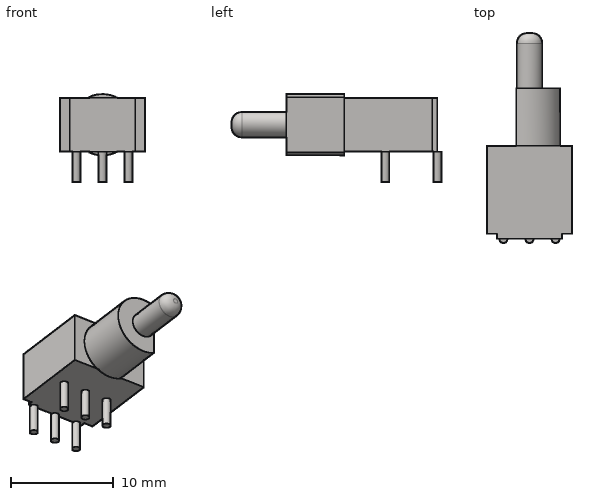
import cadquery as cq

housing_width = 8.3
housing_height = 5.25
housing_length = 8.58
rear_step_width = 6.35
rear_step_length = 0.5

bushing_diameter = 6.0
bushing_length = 5.63
bushing_flat_offset = 1.31

lever_diameter = 2.5
lever_length = 5.37
lever_tip_radius = 1.0

pin_diameter = 0.8
pin_length = 2.97
pin_pitch = 2.54
pin_row_spacing = 5.08
pin_overhang = 0.4

housing_rear = -housing_length
step_rear = housing_rear - rear_step_length
rear_pin_row = step_rear - pin_overhang + pin_diameter / 2
housing_bottom = -housing_height / 2


def block(width, y_start, y_end):
    """Box of housing height, centred on X and Z."""
    return (
        cq.Workplane("XY")
        .box(width, y_end - y_start, housing_height)
        .translate((0, (y_start + y_end) / 2, 0))
    )


def rod(diameter, y_start, length):
    """Cylinder on the Y axis, extending toward +Y."""
    return (
        cq.Workplane("XZ", origin=(0, y_start, 0))
        .circle(diameter / 2)
        .extrude(-length)
    )


def make_housing():
    main_block = block(housing_width, housing_rear, 0)
    rear_step = block(rear_step_width, step_rear, housing_rear)
    return main_block.union(rear_step)


def make_bushing():
    kept_width = bushing_flat_offset + bushing_diameter / 2
    kept_side = (
        cq.Workplane("XY")
        .box(kept_width, bushing_length, bushing_diameter)
        .translate((kept_width / 2 - bushing_flat_offset, bushing_length / 2, 0))
    )
    return rod(bushing_diameter, 0, bushing_length).intersect(kept_side)


def make_lever():
    lever = rod(lever_diameter, bushing_length, lever_length)
    return lever.faces(">Y").edges().fillet(lever_tip_radius)


def make_pins():
    pin_points = []
    for row_y in (rear_pin_row, rear_pin_row + pin_row_spacing):
        for column in (-1, 0, 1):
            pin_points.append((column * pin_pitch, row_y))
    return (
        cq.Workplane("XY", origin=(0, 0, housing_bottom))
        .pushPoints(pin_points)
        .circle(pin_diameter / 2)
        .extrude(-pin_length)
    )


result = make_housing().union(make_bushing()).union(make_lever()).union(make_pins())